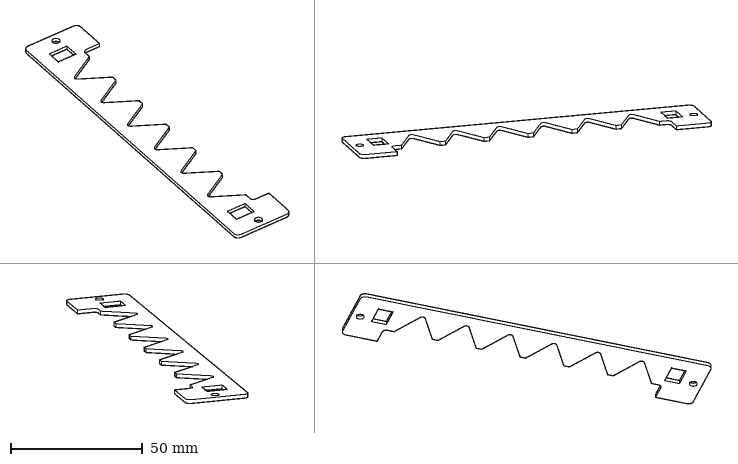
import cadquery as cq
import math

length = 140.0
width = 25.0
thickness = 1.5
corner_radius = 2.0

tab_length = 14.4
tooth_recess = 7.7
tab_root_radius = 1.5

notch_count = 6
notch_pitch = 17.5
tooth_tip_width = 2.2
notch_angle = 60.0
notch_root_radius = 1.1

hole_diameter = 3.0
hole_end_distance = 3.5
window_length = 5.9
window_height = 8.1
window_bottom_distance = 5.9

tooth_tip_y = width / 2 - tooth_recess
tab_inner_x = length / 2 - tab_length
hole_x = length / 2 - hole_end_distance
window_x = tab_inner_x + window_length / 2
window_y = -width / 2 + window_bottom_distance + window_height / 2


def make_plate():
    """Rectangular plate with rounded outer corners."""
    return cq.Workplane("XY").box(length, width, thickness).edges("|Z").fillet(corner_radius)


def make_tab_gap():
    """Cutter for the space between the tabs, with rounded lower corners."""
    return (
        cq.Workplane("XY")
        .box(2 * tab_inner_x, tooth_recess, thickness)
        .edges("|Z and <Y")
        .fillet(tab_root_radius)
        .translate((0, width / 2 - tooth_recess / 2, 0))
    )


def make_notch(center_x):
    """Cutter for one V notch with a rounded root."""
    half_mouth = (notch_pitch - tooth_tip_width) / 2
    sharp_depth = half_mouth / math.tan(math.radians(notch_angle / 2))
    return (
        cq.Workplane("XY", origin=(center_x, tooth_tip_y, -thickness / 2))
        .moveTo(-half_mouth, 0)
        .lineTo(half_mouth, 0)
        .lineTo(0, -sharp_depth)
        .close()
        .extrude(thickness)
        .edges("|Z and <Y")
        .fillet(notch_root_radius)
    )


plate = make_plate().cut(make_tab_gap())

for index in range(notch_count):
    plate = plate.cut(make_notch((index - (notch_count - 1) / 2) * notch_pitch))

plate = plate.faces(">Z").workplane(origin=(0, 0, 0))
plate = plate.pushPoints([(-hole_x, 0), (hole_x, 0)]).hole(hole_diameter)

plate = plate.faces(">Z").workplane(origin=(0, 0, 0))
plate = plate.pushPoints([(-window_x, window_y), (window_x, window_y)])
result = plate.rect(window_length, window_height).cutThruAll()